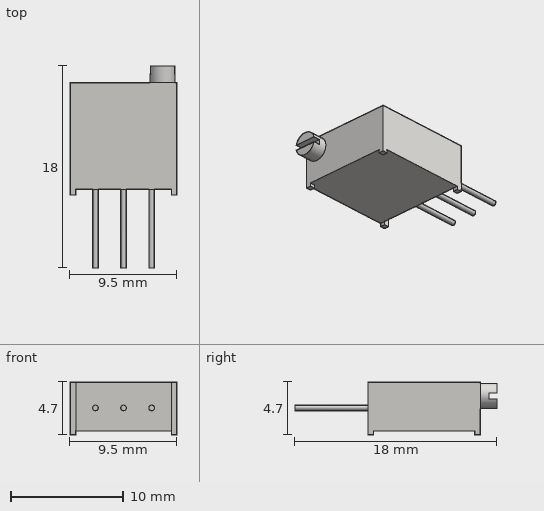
import cadquery as cq

body_width = 9.5
body_length = 10.0
body_height = 4.7
foot_size = 0.5
foot_height = 0.32
front_recess = 0.5

overall_length = 18.0
screw_length = 1.5
screw_diameter = 2.25
screw_x = 3.47
screw_z = body_height - 1.25
slot_width = 0.5
slot_depth = 0.7

pin_count = 3
pin_pitch = 2.5
pin_diameter = 0.5
pin_z = 2.4
pin_tip_y = screw_length - overall_length
pin_root_y = front_recess - body_length


def make_housing():
    """Block with a front recess between side rails and four corner feet."""
    housing = cq.Workplane("XY").box(
        body_width, body_length, body_height, centered=(True, False, False)
    ).translate((0, -body_length, 0))

    inner_width = body_width - 2 * foot_size
    recess = cq.Workplane("XY").box(
        inner_width, front_recess, body_height, centered=(True, False, False)
    ).translate((0, -body_length, 0))

    inner_length = body_length - 2 * foot_size
    long_channel = cq.Workplane("XY").box(
        inner_width, body_length, foot_height, centered=(True, False, False)
    ).translate((0, -body_length, 0))
    cross_channel = cq.Workplane("XY").box(
        body_width, inner_length, foot_height, centered=(True, False, False)
    ).translate((0, foot_size - body_length, 0))

    return housing.cut(recess).cut(long_channel).cut(cross_channel)


def cylinder_along_y(x, z, diameter, start_y, end_y):
    """Round bar parallel to Y between two Y positions."""
    return cq.Workplane(
        cq.Solid.makeCylinder(
            diameter / 2, end_y - start_y, cq.Vector(x, start_y, z), cq.Vector(0, 1, 0)
        )
    )


def make_screw():
    """Screw head with a horizontal screwdriver slot across its end."""
    head = cylinder_along_y(screw_x, screw_z, screw_diameter, 0, screw_length)
    slot = cq.Workplane("XY").box(
        screw_diameter, slot_depth, slot_width, centered=(True, False, True)
    ).translate((screw_x, screw_length - slot_depth, screw_z))
    return head.cut(slot)


result = make_housing().union(make_screw())
for index in range(pin_count):
    pin_x = (index - (pin_count - 1) / 2) * pin_pitch
    pin = cylinder_along_y(pin_x, pin_z, pin_diameter, pin_tip_y, pin_root_y)
    result = result.union(pin)